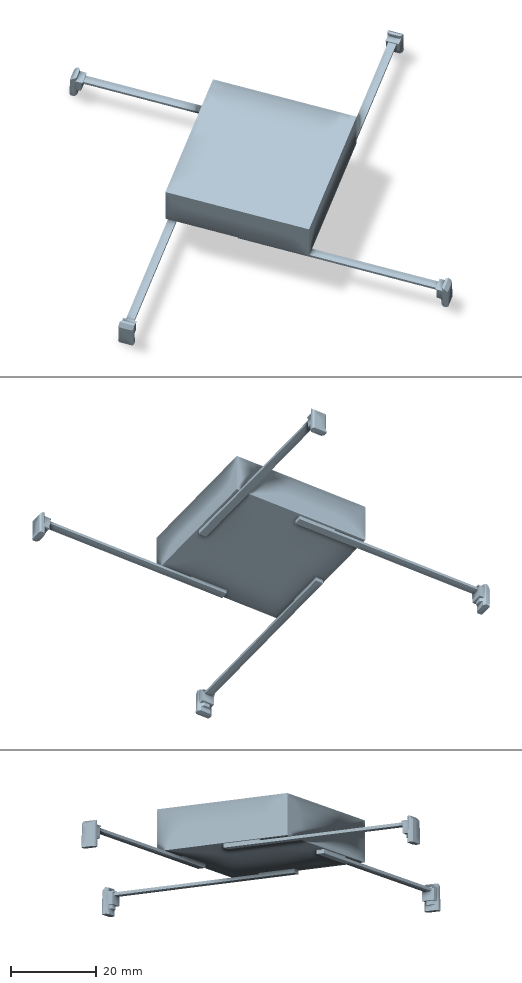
import cadquery as cq

overall_span = 104.6
overall_height = 15.5

body_side = 35.6
body_height = 10.1
body_bottom = overall_height - body_height

arm_count = 4
arm_reach = overall_span / 2
arm_width = 2.0
arm_thickness = 0.7
arm_gap = 0.3
arm_top = body_bottom - arm_gap
arm_offset = 16.25
raised_end_length = 9.8

plate_width = 3.85
plate_height = 6.4
plate_thickness = 1.75
plate_inner = arm_reach - plate_thickness
outer_bevel = 0.35
inner_bevel = 0.55
top_bevel = 1.0
draft_angle = 1.0

block_width = 3.3
block_bottom = 2.25
block_top = body_bottom
block_length_from_tip = 2.9
block_inner = arm_reach - block_length_from_tip
lip_overhang = 0.3
lip_inner = block_inner - lip_overhang
lip_thickness = arm_gap

key_bottom = 1.3
key_depth = 0.6
key_base_width = 2.6
key_tip_width = key_base_width - 2 * key_depth


def box_between(x_min, x_max, width, z_min, z_max):
    """Box of the given width, centred on Y = 0."""
    return (
        cq.Workplane("XY")
        .box(x_max - x_min, width, z_max - z_min, centered=(False, True, False))
        .translate((x_min, 0, z_min))
    )


def make_body():
    return box_between(-body_side / 2, body_side / 2, body_side, body_bottom, overall_height)


def make_arm():
    strip = box_between(0, plate_inner, arm_width, arm_top - arm_thickness, arm_top)
    raised_end = box_between(0, raised_end_length, arm_width, arm_top, body_bottom)
    return strip.union(raised_end)


def make_end_plate():
    half_width = plate_width / 2
    half_inner = half_width - inner_bevel
    half_outer = half_width - outer_bevel
    inner_bevel_end = plate_inner + inner_bevel
    outer_bevel_start = arm_reach - outer_bevel
    plate = (
        cq.Workplane("XY")
        .moveTo(plate_inner, -half_inner)
        .lineTo(inner_bevel_end, -half_width)
        .lineTo(outer_bevel_start, -half_width)
        .lineTo(arm_reach, -half_outer)
        .lineTo(arm_reach, half_outer)
        .lineTo(outer_bevel_start, half_width)
        .lineTo(inner_bevel_end, half_width)
        .lineTo(plate_inner, half_inner)
        .close()
        .extrude(plate_height, taper=draft_angle)
    )
    top_slope = (
        cq.Workplane("XZ")
        .moveTo(arm_reach, plate_height - top_bevel)
        .lineTo(arm_reach, plate_height)
        .lineTo(arm_reach - top_bevel, plate_height)
        .close()
        .extrude(half_width, both=True)
    )
    return plate.cut(top_slope)


def drafted_slab(x_min, x_max, z_min, z_max):
    """Slab of the block width whose four sides draw in towards the bottom."""
    return (
        cq.Workplane("XY", origin=((x_min + x_max) / 2, 0, z_max))
        .rect(x_max - x_min, block_width)
        .extrude(z_min - z_max, taper=draft_angle)
    )


def make_block():
    block_outer = plate_inner + inner_bevel
    block = drafted_slab(block_inner, block_outer, block_bottom, block_top)
    lip = drafted_slab(lip_inner, block_outer, block_top - lip_thickness, block_top)
    return block.union(lip)


def make_key():
    key_inner = plate_inner - key_depth
    return (
        cq.Workplane("XY", origin=(0, 0, key_bottom))
        .moveTo(plate_inner, -key_base_width / 2)
        .lineTo(key_inner, -key_tip_width / 2)
        .lineTo(key_inner, key_tip_width / 2)
        .lineTo(plate_inner, key_base_width / 2)
        .close()
        .extrude(block_bottom - key_bottom)
    )


def make_arm_assembly():
    assembly = make_arm().union(make_block()).union(make_end_plate()).union(make_key())
    return assembly.translate((0, -arm_offset, 0))


result = make_body()
arm_assembly = make_arm_assembly()
for index in range(arm_count):
    angle = index * 360 / arm_count
    result = result.union(arm_assembly.rotate((0, 0, 0), (0, 0, 1), angle))